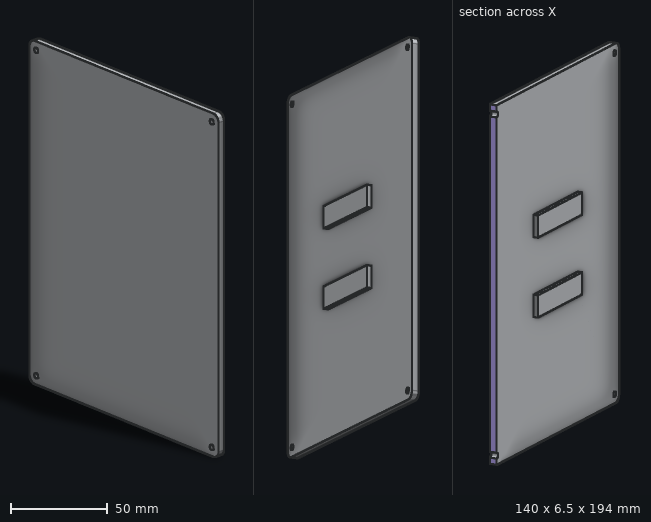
import cadquery as cq

plate_width = 140.0
plate_height = 194.0
total_depth = 6.5
bar_depth = 2.5
plate_depth = total_depth - bar_depth
corner_radius = 4.0

hole_diameter = 3.0
hole_inset = 5.0

bar_length = 48.9
bar_height = 12.0
bar_offset = 21.5


def make_plate():
    """Rectangular plate with rounded corners."""
    plate = cq.Workplane("XY").box(plate_width, plate_depth, plate_height, centered=(True, False, True))
    return plate.edges("|Y").fillet(corner_radius)


def make_corner_holes():
    """Cutters for the four corner holes."""
    spacing_x = plate_width - 2 * hole_inset
    spacing_z = plate_height - 2 * hole_inset
    return (
        cq.Workplane("XZ")
        .rarray(spacing_x, spacing_z, 2, 2)
        .circle(hole_diameter / 2)
        .extrude(-plate_depth)
    )


def make_bar(center_z):
    """Plain raised bar on the back face at the given height."""
    bar = cq.Workplane("XY").box(bar_length, bar_depth, bar_height, centered=(True, False, True))
    return bar.translate((0, plate_depth, center_z))


result = make_plate().cut(make_corner_holes())
for center_z in (-bar_offset, bar_offset):
    result = result.union(make_bar(center_z))